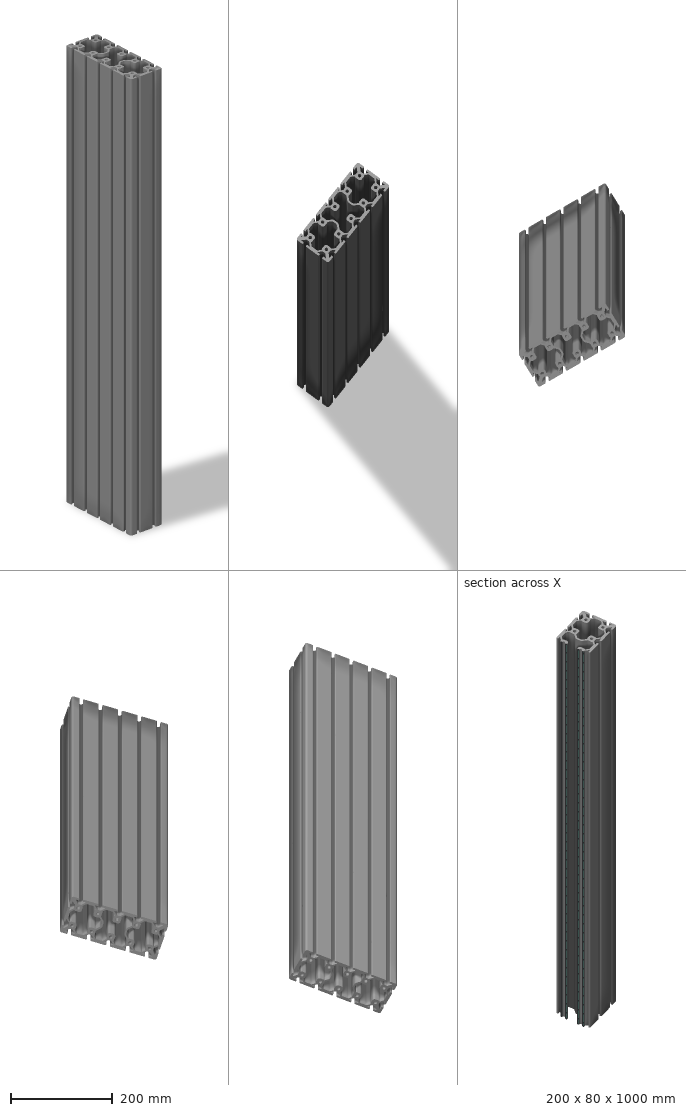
import cadquery as cq
import math

length = 1000.0
module = 40.0
modules_wide = 5
modules_deep = 2
width = module * modules_wide
depth = module * modules_deep
corner_radius = 4.2

slot_mouth_half = 3.9
slot_mouth_radius = 1.6
slot_lip = 4.5
slot_lip_radius = 0.9
slot_inner_half = 10.9
slot_inner_radius = 0.5
slot_depth = 12.25
slot_floor_radius = 2.5
slot_floor_half = slot_inner_half - (slot_depth - slot_lip)
slot_clearance = 1.0

wall = 7.1
wall_bend_offset = 13.0
wall_bend_radius = 1.9

core_half = 8.0
core_radius = 4.9
bore_diameter = 6.8

web_middle_x = 22.9
web_flat_half = 6.7
web_corner_radius = 7.9
web_thickness = 3.7
web_side_x = module - core_half

column_xs = [(i - (modules_wide - 1) / 2) * module for i in range(modules_wide)]
row_y = module / 2
row_ys = [-row_y, row_y]
end_x = column_xs[-1]
web_column_x = column_xs[-2]

inner_x = width / 2 - wall
inner_y = depth / 2 - wall
wall_run = inner_y - row_y


def corner_stops(before, corner, after, radius):
    """Start, middle and end of the arc that rounds a corner, or only the corner if it is sharp."""
    if radius == 0:
        return [corner]
    to_before = (before - corner).normalized()
    to_after = (after - corner).normalized()
    half_angle = to_before.getAngle(to_after) / 2
    bisector = (to_before + to_after).normalized()
    setback = radius / math.tan(half_angle)
    reach = radius / math.sin(half_angle) - radius
    return [corner + to_before * setback, corner + bisector * reach, corner + to_after * setback]


def prism(corners):
    """Extrude a closed outline given as (x, y, corner radius); radius 0 leaves a sharp corner."""
    points = [cq.Vector(x, y) for x, y, _ in corners]
    radii = [radius for _, _, radius in corners]
    outline = cq.Workplane("XY")
    for i, (point, radius) in enumerate(zip(points, radii)):
        after = points[(i + 1) % len(points)]
        start, *arc = corner_stops(points[i - 1], point, after, radius)
        if i == 0:
            outline = outline.moveTo(start.x, start.y)
        else:
            outline = outline.lineTo(start.x, start.y)
        if arc:
            middle, end = arc
            outline = outline.threePointArc((middle.x, middle.y), (end.x, end.y))
    return outline.close().extrude(length)


def both_x(corners):
    """Complete an outline that is symmetric about x = 0 from its -X half."""
    return corners + [(-x, y, radius) for x, y, radius in reversed(corners)]


def both_y(corners):
    """Complete an outline that is symmetric about y = 0 from its +Y half."""
    return corners + [(x, -y, radius) for x, y, radius in reversed(corners)]


def outer_block():
    block = cq.Workplane("XY").rect(width, depth).extrude(length)
    return block.edges("|Z").fillet(corner_radius)


def end_chamber():
    """Chamber on the +X side between the dividing web and the end wall."""
    web_x = web_middle_x + web_thickness
    web_bend_y = web_flat_half - web_thickness * math.tan(math.radians(22.5))
    web_run = web_column_x - web_x
    end_wall_run = inner_x - end_x
    return prism(both_y([
        (web_x, web_bend_y, web_corner_radius),
        (web_column_x, web_bend_y + web_run, 0),
        (web_column_x, row_y, 0),
        (web_column_x + wall_bend_offset - wall_run, row_y, 0),
        (web_column_x + wall_bend_offset, inner_y, wall_bend_radius),
        (end_x - wall_bend_offset, inner_y, wall_bend_radius),
        (end_x - wall_bend_offset + wall_run, row_y, 0),
        (end_x, row_y, 0),
        (end_x, row_y - wall_bend_offset + end_wall_run, 0),
        (inner_x, row_y - wall_bend_offset, wall_bend_radius),
    ]))


def middle_chamber():
    """Chamber between the two dividing webs."""
    side_run = web_side_x - web_middle_x
    bend_x = web_column_x - wall_bend_offset
    bend_run = web_side_x - bend_x
    upper_half = both_x([
        (-web_middle_x, web_flat_half, web_corner_radius),
        (-web_side_x, web_flat_half + side_run, 0),
        (-web_side_x, inner_y - bend_run, 0),
        (-bend_x, inner_y, wall_bend_radius),
        (-wall_bend_offset, inner_y, wall_bend_radius),
        (-wall_bend_offset + wall_run, row_y, 0),
    ])
    return prism(both_y(upper_half))


def at_cores():
    return cq.Workplane("XY").pushPoints([(x, y) for x in column_xs for y in row_ys])


def cores():
    side = 2 * core_half
    return at_cores().rect(side, side).extrude(length).edges("|Z").fillet(core_radius)


def bores():
    return at_cores().circle(bore_diameter / 2).extrude(length)


def slot():
    """T-slot that opens toward +Y, with the outer face on y = 0."""
    mouth_edge = slot_mouth_half + slot_mouth_radius + slot_clearance
    return prism(both_x([
        (-mouth_edge, slot_clearance, 0),
        (-mouth_edge, 0, 0),
        (-slot_mouth_half, 0, slot_mouth_radius),
        (-slot_mouth_half, -slot_lip, slot_lip_radius),
        (-slot_inner_half, -slot_lip, slot_inner_radius),
        (-slot_floor_half, -slot_depth, slot_floor_radius),
    ]))


def cut_slots(body):
    """Cut a slot at every module on all four sides."""
    side_slot = slot().translate((0, depth / 2, 0))
    for x in column_xs:
        cutter = side_slot.translate((x, 0, 0))
        body = body.cut(cutter).cut(cutter.mirror("XZ"))
    end_slot = slot().rotate((0, 0, 0), (0, 0, 1), -90).translate((width / 2, 0, 0))
    for y in row_ys:
        cutter = end_slot.translate((0, y, 0))
        body = body.cut(cutter).cut(cutter.mirror("YZ"))
    return body


def extrusion():
    chamber = end_chamber()
    body = outer_block().cut(chamber).cut(chamber.mirror("YZ")).cut(middle_chamber())
    body = body.union(cores()).cut(bores())
    return cut_slots(body)


result = extrusion()